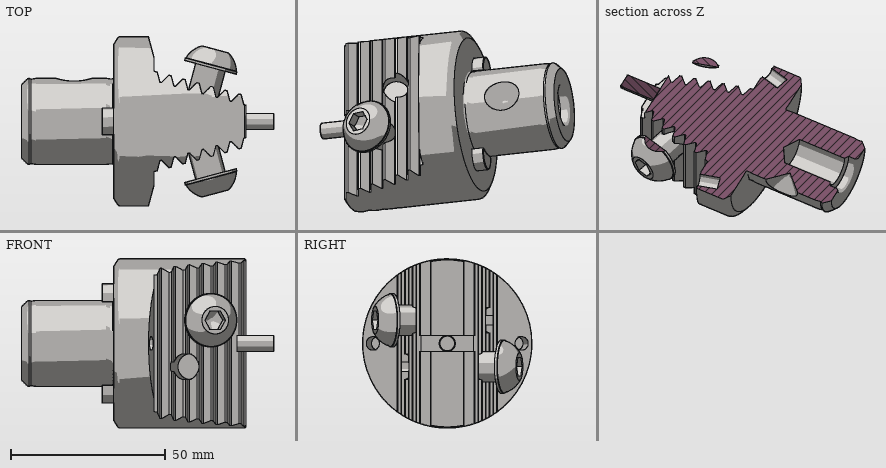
import cadquery as cq
import math


TOTAL_LENGTH = 82.0

SHANK_RADIUS = 14.0
TAIL_FACE_RADIUS = 11.9
TAIL_CHAMFER = 1.8
TAIL_ROUND_END = 2.4
TAIL_GROOVE_FLOOR_START = 3.0
TAIL_GROOVE_FLOOR_END = 3.4
TAIL_GROOVE_END = 4.75
TAIL_GROOVE_DEPTH = 0.25
NECK_START = 27.55
NECK_FLOOR_START = 28.8
NECK_DEPTH = 0.2

BORE_RADIUS = 5.2
BORE_DEPTH = 20.5
COUNTERBORE_RADIUS = 6.5
COUNTERBORE_DEPTH = 3.2
BORE_MOUTH_ROUND = 1.15
DRILL_POINT_ANGLE = 118.0

SEAT_X = 17.05
SEAT_RADIUS = 5.8

FLANGE_X = 29.9
HEAD_RADIUS = 27.51
HEAD_END = 72.9
HEAD_END_CHAMFER = 0.4
FLANGE_FACE_RADIUS = 25.0
FLANGE_CHAMFER_RADIUS = 27.0
FLANGE_CHAMFER_LENGTH = 1.2
FLANGE_ROUND_LENGTH = 0.8
UNDERCUT_RADIUS = 15.75
UNDERCUT_ROUND = 0.5
UNDERCUT_DEPTH = 0.1

TAPER_ANGLE = 15.0
SHOULDER_RIM_X = 41.25
SHOULDER_X = 43.05
TOOTH_COUNT = 6
TOOTH_PITCH = 4.7
TOOTH_HEIGHT = 2.95
TOOTH_FLANK_ANGLE = 60.0
TOOTH_TIP_WIDTH = 0.8
FIRST_TIP_X = 43.7
FIRST_TIP_Y = 16.15

OUTLET_RADIUS = 2.2
OUTLET_X = 42.15
OUTLET_DEPTH = 6.6

KEY_RADIUS = 4.39
KEY_CENTER_Z = 15.0
KEY_START = 26.1
KEY_SEAT_DEPTH = 0.65
KEY_CHAMFER = 0.25

SCREW_Z = 7.55
SCREW_SEAT_X = 61.3
SCREW_SEAT_Y = 17.55
SCREW_LENGTH = 25.0
SCREW_RADIUS = 5.0
SCREW_EXIT_RADIUS = 4.2
SCREW_HEAD_RADIUS = 8.7
SCREW_HEAD_TOP_RADIUS = 4.47
SCREW_HEAD_HEIGHT = 6.1
SCREW_RIM = 0.8
SCREW_RIM_CHAMFER = 0.2
SOCKET_WIDTH = 6.0
SOCKET_DEPTH = 3.3

PIN_RADIUS = 2.6
PIN_START = 70.0
PIN_CHAMFER = 0.25

TAPER = math.radians(TAPER_ANGLE)
DRILL_SLOPE = math.tan(math.radians(DRILL_POINT_ANGLE / 2))
SHOULDER_Y = HEAD_RADIUS - (SHOULDER_X - SHOULDER_RIM_X) / math.tan(TAPER)


def x_cylinder(start, end, radius):
    return cq.Workplane("YZ", origin=(start, 0, 0)).circle(radius).extrude(end - start)


def other_side(shape):
    """The same shape turned half a turn about the tool axis."""
    return shape.rotate((0, 0, 0), (1, 0, 0), 180)


def turned_blank():
    groove_radius = SHANK_RADIUS - TAIL_GROOVE_DEPTH
    neck_radius = SHANK_RADIUS - NECK_DEPTH
    undercut_x = FLANGE_X + UNDERCUT_DEPTH
    chamfer_end = FLANGE_X + FLANGE_CHAMFER_LENGTH
    round_end = chamfer_end + FLANGE_ROUND_LENGTH
    profile = (
        cq.Workplane("XY")
        .lineTo(0, TAIL_FACE_RADIUS)
        .lineTo(TAIL_CHAMFER, TAIL_FACE_RADIUS + TAIL_CHAMFER)
        .tangentArcPoint((TAIL_ROUND_END, SHANK_RADIUS), relative=False)
        .lineTo(TAIL_GROOVE_FLOOR_START, groove_radius)
        .lineTo(TAIL_GROOVE_FLOOR_END, groove_radius)
        .lineTo(TAIL_GROOVE_END, SHANK_RADIUS)
        .lineTo(NECK_START, SHANK_RADIUS)
        .lineTo(NECK_FLOOR_START, neck_radius)
        .lineTo(undercut_x - UNDERCUT_ROUND, neck_radius)
        .tangentArcPoint((undercut_x, neck_radius + UNDERCUT_ROUND), relative=False)
        .lineTo(FLANGE_X, UNDERCUT_RADIUS)
        .lineTo(FLANGE_X, FLANGE_FACE_RADIUS)
        .lineTo(chamfer_end, FLANGE_CHAMFER_RADIUS)
        .tangentArcPoint((round_end, HEAD_RADIUS), relative=False)
        .lineTo(HEAD_END - HEAD_END_CHAMFER, HEAD_RADIUS)
        .lineTo(HEAD_END, HEAD_RADIUS - HEAD_END_CHAMFER)
        .lineTo(HEAD_END, 0)
        .close()
    )
    return profile.revolve(360, (0, 0, 0), (1, 0, 0))


def tail_bore():
    """Round-mouthed counterbore and bore, each ending in a drill-point cone."""
    step_end = COUNTERBORE_DEPTH + (COUNTERBORE_RADIUS - BORE_RADIUS) / DRILL_SLOPE
    mouth_radius = COUNTERBORE_RADIUS + BORE_MOUTH_ROUND
    profile = (
        cq.Workplane("XY")
        .lineTo(0, mouth_radius)
        .radiusArc((BORE_MOUTH_ROUND, COUNTERBORE_RADIUS), -BORE_MOUTH_ROUND)
        .lineTo(COUNTERBORE_DEPTH, COUNTERBORE_RADIUS)
        .lineTo(step_end, BORE_RADIUS)
        .lineTo(BORE_DEPTH, BORE_RADIUS)
        .lineTo(BORE_DEPTH + BORE_RADIUS / DRILL_SLOPE, 0)
        .close()
    )
    return profile.revolve(360, (0, 0, 0), (1, 0, 0))


def clamping_seat():
    """Right-angled cone, as deep as its mouth radius."""
    mouth = cq.Vector(SEAT_X, SHANK_RADIUS, 0)
    return cq.Workplane(cq.Solid.makeCone(SEAT_RADIUS, 0, SEAT_RADIUS, mouth, cq.Vector(0, -1, 0)))


def tooth_points():
    """Serration outline on the +Y side: tip edges and root edges, tooth after tooth."""
    flank_run = TOOTH_HEIGHT / math.tan(math.radians(TOOTH_FLANK_ANGLE))
    root_width = TOOTH_PITCH - TOOTH_TIP_WIDTH - 2 * flank_run

    def on_taper(along, depth):
        x = FIRST_TIP_X + along * math.cos(TAPER) - depth * math.sin(TAPER)
        y = FIRST_TIP_Y - along * math.sin(TAPER) - depth * math.cos(TAPER)
        return x, y

    points = []
    for tooth in range(TOOTH_COUNT + 1):
        tip_end = tooth * TOOTH_PITCH + TOOTH_TIP_WIDTH / 2
        if tooth > 0:
            points.append(on_taper(tip_end - TOOTH_TIP_WIDTH, 0))
        points.append(on_taper(tip_end, 0))
        points.append(on_taper(tip_end + flank_run, TOOTH_HEIGHT))
        if tooth < TOOTH_COUNT:
            points.append(on_taper(tip_end + flank_run + root_width, TOOTH_HEIGHT))
    root_x, root_y = points[-1]
    points.append((HEAD_END, root_y - (HEAD_END - root_x) * math.tan(TAPER)))
    return points


def flank_clearance():
    """Everything outside the sloped shoulder and the serrated flank on the +Y side."""
    teeth = tooth_points()
    first_y = teeth[0][1] + (teeth[0][0] - SHOULDER_X) * math.tan(TAPER)
    overshoot = 0.8
    rim = (SHOULDER_RIM_X - overshoot * math.tan(TAPER), HEAD_RADIUS + overshoot)
    end_x = HEAD_END + overshoot
    outline = [rim, (SHOULDER_X, SHOULDER_Y), (SHOULDER_X, first_y)]
    outline += teeth
    outline += [(end_x, teeth[-1][1]), (end_x, rim[1])]
    return cq.Workplane("XY").polyline(outline).close().extrude(HEAD_RADIUS + overshoot, both=True)


def coolant_outlet():
    """Blind hole square to the sloped shoulder on the -Y side."""
    outlet_y = HEAD_RADIUS - (OUTLET_X - SHOULDER_RIM_X) / math.tan(TAPER)
    mouth = cq.Vector(OUTLET_X, -outlet_y, 0)
    inward = cq.Vector(-math.cos(TAPER), math.sin(TAPER), 0)
    return cq.Workplane(cq.Solid.makeCylinder(OUTLET_RADIUS, OUTLET_DEPTH, mouth, inward))


def screw_plane():
    """Plane of the -Y screw's head seat, its normal pointing out of the housing."""
    return cq.Plane(
        origin=(SCREW_SEAT_X, -SCREW_SEAT_Y, SCREW_Z),
        xDir=(math.cos(TAPER), math.sin(TAPER), 0),
        normal=(math.sin(TAPER), -math.cos(TAPER), 0),
    )


def screw_hole():
    """Full-size hole down to the screw's end and a smaller hole out of the far side."""
    shank_hole = cq.Workplane(screw_plane()).circle(SCREW_RADIUS).extrude(-SCREW_LENGTH)
    exit_hole = cq.Workplane(screw_plane()).circle(SCREW_EXIT_RADIUS).extrude(-2 * SCREW_LENGTH)
    return shank_hole.union(exit_hole)


def screw_head():
    """Button head: short rim with a chamfered edge, round crown and flat top."""
    crown_start = SCREW_RIM + SCREW_RIM_CHAMFER
    crown_foot = SCREW_HEAD_RADIUS - SCREW_RIM_CHAMFER
    crown_rise = SCREW_HEAD_HEIGHT - crown_start
    center_drop = (crown_foot**2 - SCREW_HEAD_TOP_RADIUS**2 - crown_rise**2) / (2 * crown_rise)
    crown_radius = math.hypot(crown_foot, center_drop)
    profile = (
        cq.Workplane("XZ")
        .lineTo(SCREW_HEAD_RADIUS, 0)
        .lineTo(SCREW_HEAD_RADIUS, SCREW_RIM)
        .lineTo(crown_foot, crown_start)
        .radiusArc((SCREW_HEAD_TOP_RADIUS, SCREW_HEAD_HEIGHT), -crown_radius)
        .lineTo(0, SCREW_HEAD_HEIGHT)
        .close()
    )
    return profile.revolve(360, (0, 0, 0), (0, 1, 0))


def screw_socket():
    """Hexagonal socket with a drill-point bottom."""
    corner_radius = SOCKET_WIDTH / 2 / math.cos(math.pi / 6)
    floor_z = SCREW_HEAD_HEIGHT - SOCKET_DEPTH
    tip_z = floor_z - corner_radius / DRILL_SLOPE
    hexagon = (
        cq.Workplane("XY", origin=(0, 0, tip_z))
        .polygon(6, 2 * corner_radius)
        .extrude(SCREW_HEAD_HEIGHT - tip_z)
    )
    drill = (
        cq.Workplane("XZ", origin=(0, 0, tip_z))
        .lineTo(corner_radius, floor_z - tip_z)
        .lineTo(corner_radius, SCREW_HEAD_HEIGHT - tip_z)
        .lineTo(0, SCREW_HEAD_HEIGHT - tip_z)
        .close()
        .revolve(360, (0, 0, 0), (0, 1, 0))
    )
    return hexagon.intersect(drill)


def make_screw():
    shank = cq.Workplane("XY").circle(SCREW_RADIUS).extrude(-SCREW_LENGTH)
    screw = screw_head().union(shank).cut(screw_socket())
    return cq.Workplane(screw.val().moved(cq.Location(screw_plane())))


def make_key():
    """Round key resting on the shank, its foot sunk into the flange."""
    foot_x = FLANGE_X + KEY_SEAT_DEPTH
    key = (
        cq.Workplane("YZ", origin=(KEY_START, 0, KEY_CENTER_Z))
        .circle(KEY_RADIUS)
        .extrude(foot_x - KEY_START)
        .cut(x_cylinder(0, foot_x, SHANK_RADIUS))
    )
    return key.edges("|X or <X").chamfer(KEY_CHAMFER)


def make_pin():
    return x_cylinder(PIN_START, TOTAL_LENGTH, PIN_RADIUS).faces(">X").chamfer(PIN_CHAMFER)


def pin_slot():
    """Slot as wide as the pin, across the whole end of the head."""
    length = HEAD_END - PIN_START
    return cq.Workplane("XY").box(length, 2 * HEAD_RADIUS, 2 * PIN_RADIUS).translate(
        (PIN_START + length / 2, 0, 0)
    )


screw = make_screw()
key = make_key()
screws = [screw, other_side(screw)]
keys = [key, other_side(key)]
pin = make_pin()

housing = turned_blank().cut(tail_bore()).cut(clamping_seat()).cut(pin_slot())
for feature in (flank_clearance(), coolant_outlet(), screw_hole()):
    housing = housing.cut(feature).cut(other_side(feature))
for key_body in keys:
    housing = housing.cut(key_body)

bodies = [housing, *keys, *screws, pin]
result = cq.Compound.makeCompound([body.val() for body in bodies])